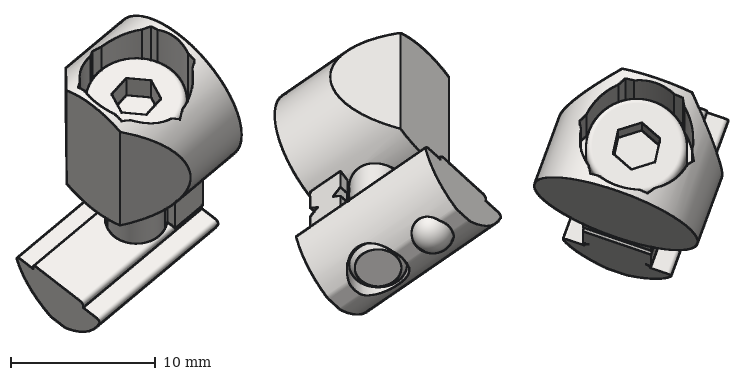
import cadquery as cq
import math


overall_height = 22.7

barrel_diameter = 12.0
barrel_length = 8.54
barrel_centre_z = 11.21
barrel_nose_width = 5.13
bore_diameter = 7.83
bore_hex_flats = 7.26

shank_diameter = 4.0
head_diameter = 7.0
head_height = 4.0
head_edge_radius = 0.43
head_top_z = 14.2
screw_tip_z = -3.81
tip_chamfer = 0.39
socket_flats = 2.97
socket_depth = 2.0
screw_turn = -22.5

nut_front_y = -7.79
nut_back_y = 4.05
nut_bottom_z = -4.47
nut_bottom_width = 1.36
neck_width = 4.81
neck_height = 0.5
flange_width = 8.15
flange_side_radius = 6.0
nut_edge_radius = 0.3
nut_bottom_radius = 0.68
nut_hole_diameter = 4.31

post_width = 5.02
post_thickness = 2.77
notch_z = 3.45
notch_height = 1.0
notch_depth = 0.68

ball_diameter = 3.0
ball_y = -5.0

barrel_radius = barrel_diameter / 2
ball_centre_z = barrel_centre_z + barrel_radius - overall_height + ball_diameter / 2


def hexagon_diameter(flats):
    """Diameter across the corners of a hexagon, from the distance across its flats."""
    return flats / math.cos(math.pi / 6)


def barrel_cylinder():
    return (
        cq.Workplane("XZ", origin=(0, barrel_length / 2, barrel_centre_z))
        .circle(barrel_radius)
        .extrude(barrel_length)
    )


def make_barrel():
    half_nose = barrel_nose_width / 2
    front_y = -barrel_length / 2
    chamfer_back_y = front_y + barrel_radius - half_nose
    outline = (
        cq.Workplane("XY", origin=(0, 0, barrel_centre_z - barrel_radius))
        .moveTo(-half_nose, front_y)
        .lineTo(half_nose, front_y)
        .lineTo(barrel_radius, chamfer_back_y)
        .lineTo(barrel_radius, barrel_length / 2)
        .lineTo(-barrel_radius, barrel_length / 2)
        .lineTo(-barrel_radius, chamfer_back_y)
        .close()
        .extrude(barrel_diameter)
    )
    head_seat = cq.Workplane("XY", origin=(0, 0, head_top_z - head_height))
    return (
        barrel_cylinder()
        .intersect(outline)
        .cut(head_seat.circle(bore_diameter / 2).extrude(barrel_diameter))
        .cut(head_seat.polygon(6, hexagon_diameter(bore_hex_flats)).extrude(barrel_diameter))
        .cut(head_seat.circle(shank_diameter / 2).extrude(-barrel_diameter))
    )


def make_screw():
    head_bottom_z = head_top_z - head_height
    head = (
        cq.Workplane("XY", origin=(0, 0, head_bottom_z))
        .circle(head_diameter / 2)
        .extrude(head_height)
        .faces(">Z")
        .edges()
        .fillet(head_edge_radius)
    )
    shank = (
        cq.Workplane("XY", origin=(0, 0, screw_tip_z))
        .circle(shank_diameter / 2)
        .extrude(head_bottom_z - screw_tip_z)
        .faces("<Z")
        .chamfer(tip_chamfer)
    )
    socket = (
        cq.Workplane("XY", origin=(0, 0, head_top_z))
        .polygon(6, hexagon_diameter(socket_flats))
        .extrude(-socket_depth)
    )
    return head.union(shank).cut(socket).rotate((0, 0, 0), (0, 0, 1), screw_turn)


def make_nut_bar():
    half_neck = neck_width / 2
    half_flange = flange_width / 2
    half_bottom = nut_bottom_width / 2
    return (
        cq.Workplane("XZ", origin=(0, nut_back_y, 0))
        .moveTo(-half_neck, 0)
        .lineTo(half_neck, 0)
        .lineTo(half_neck, -neck_height)
        .lineTo(half_flange, -neck_height)
        .radiusArc((half_bottom, nut_bottom_z), flange_side_radius)
        .lineTo(-half_bottom, nut_bottom_z)
        .radiusArc((-half_flange, -neck_height), flange_side_radius)
        .lineTo(-half_neck, -neck_height)
        .close()
        .extrude(nut_back_y - nut_front_y)
        .faces(">Z").edges("|Y").fillet(nut_edge_radius)
        .edges("|Y").edges("<X or >X").fillet(nut_edge_radius)
        .faces("<Z").edges("|Y").fillet(nut_bottom_radius)
    )


def make_post():
    front_y = nut_back_y - post_thickness
    post = (
        cq.Workplane("XY")
        .center(0, nut_back_y - post_thickness / 2)
        .rect(post_width, post_thickness)
        .extrude(barrel_centre_z)
    )
    for face_y, inward in ((nut_back_y, -1), (front_y, 1)):
        notch = (
            cq.Workplane("YZ", origin=(-post_width / 2, 0, 0))
            .moveTo(face_y, notch_z - notch_height / 2)
            .lineTo(face_y + inward * notch_depth, notch_z)
            .lineTo(face_y, notch_z + notch_height / 2)
            .close()
            .extrude(post_width)
        )
        post = post.cut(notch)
    return post


def make_nut():
    ball = cq.Workplane("XY", origin=(0, ball_y, ball_centre_z)).sphere(ball_diameter / 2)
    screw_hole = (
        cq.Workplane("XY", origin=(0, 0, nut_bottom_z))
        .circle(nut_hole_diameter / 2)
        .extrude(barrel_centre_z - nut_bottom_z)
    )
    return (
        make_nut_bar()
        .union(make_post())
        .union(ball)
        .cut(screw_hole)
        .cut(barrel_cylinder())
    )


barrel = make_barrel()
screw = make_screw()
nut = make_nut()

result = cq.Compound.makeCompound([barrel.solids().val(), screw.solids().val(), nut.solids().val()])